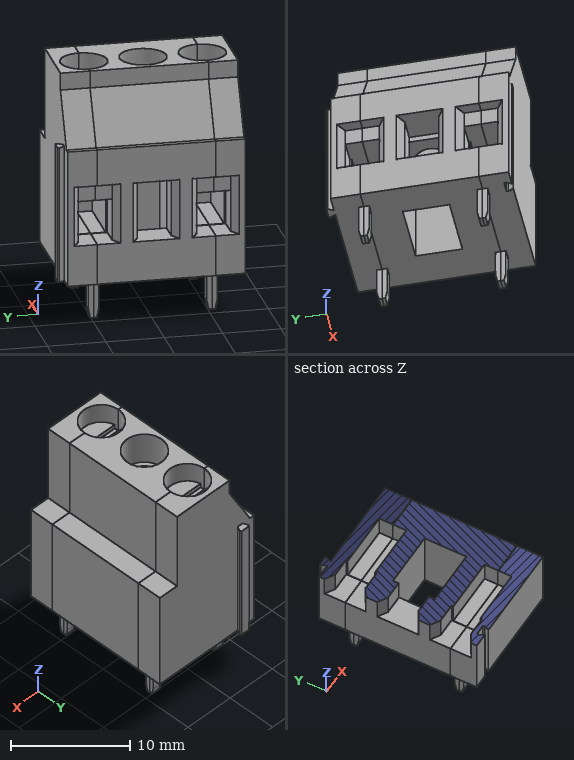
import cadquery as cq

depth = 11.2
height = 21.5
pole_pitch = 5.07
end_margin = pole_pitch / 2
half_length = pole_pitch + end_margin
base_z = 3.5

front_shoulder_z = 15.5
slope_start_x = 0.5
slope_end_x = 2.9
slope_end_z = 20.0
rear_step_x = 9.15
rear_step_z = 13.5

entry_bottom_z = 7.05
entry_top_z = 12.3
mouth_width = 4.0
throat_width = 2.9
taper_depth = 0.88
lintel_z = 10.69
clamp_x = 2.73
clamp_slot_width = 2.58
clamp_floor_rise = 0.05

screw_x = 5.38
bore_diameter = 4.0
screw_head_depth = 2.0
screw_slot_width = 0.77
screw_slot_depth = 0.43

chamber_top_z = 11.74
chamber_back_x = 2 * screw_x - clamp_x
chamber_width = bore_diameter
empty_bore_depth = 3.22
through_hole_diameter = 3.1

pin_width = 0.9
pin_tip_width = 0.55
pin_tip_height = 0.77
front_pin_x = 1.94
pin_spacing = 7.48

dovetail_x = 1.68
dovetail_root_width = 0.55
dovetail_wide_width = 1.03
dovetail_tip_width = 0.9
dovetail_length = 0.62
dovetail_wide_at = 0.47


def box(x_range, y_centre, width, z_range):
    """Block between two X and two Z limits, centred on y_centre."""
    return cq.Workplane("XY").box(
        x_range[1] - x_range[0], width, z_range[1] - z_range[0], centered=(False, True, False)
    ).translate((x_range[0], y_centre, z_range[0]))


def bore(y_centre, diameter, z_range):
    """Vertical cylinder on a pole's screw axis."""
    return (
        cq.Workplane("XY", origin=(screw_x, y_centre, z_range[0]))
        .transformed(rotate=(0, 0, 90))
        .circle(diameter / 2)
        .extrude(z_range[1] - z_range[0])
    )


def housing_slab(y_start, y_end):
    """Plain length of housing with the stepped and sloped outline."""
    return (
        cq.Workplane("XZ", origin=(0, y_end, 0))
        .moveTo(0, base_z)
        .lineTo(depth, base_z)
        .lineTo(depth, rear_step_z)
        .lineTo(rear_step_x, rear_step_z)
        .lineTo(rear_step_x, height)
        .lineTo(slope_end_x, height)
        .lineTo(slope_end_x, slope_end_z)
        .lineTo(slope_start_x, front_shoulder_z)
        .lineTo(0, front_shoulder_z)
        .close()
        .extrude(y_end - y_start)
    )


def entry_mouth(y_centre):
    """Wire entry that narrows towards the throat."""
    return (
        cq.Workplane("XY", origin=(0, y_centre, entry_bottom_z))
        .moveTo(0, -mouth_width / 2)
        .lineTo(taper_depth, -throat_width / 2)
        .lineTo(taper_depth, throat_width / 2)
        .lineTo(0, mouth_width / 2)
        .close()
        .extrude(entry_top_z - entry_bottom_z)
    )


def wired_pole_cuts(y_centre):
    """Wire entry, clamp slot and screw recess of a pole that carries a terminal."""
    throat = box((taper_depth, clamp_x), y_centre, throat_width, (entry_bottom_z, lintel_z))
    clamp_slot = box(
        (clamp_x, chamber_back_x), y_centre, clamp_slot_width, (entry_bottom_z + clamp_floor_rise, lintel_z)
    )
    screw_top_z = height - screw_head_depth
    screw_recess = bore(y_centre, bore_diameter, (screw_top_z, height))
    slot_z = (screw_top_z - screw_slot_depth, screw_top_z)
    screw_slot = bore(y_centre, bore_diameter, slot_z).intersect(
        box((0, depth), y_centre, screw_slot_width, slot_z)
    )
    return [entry_mouth(y_centre), throat, clamp_slot, screw_recess, screw_slot]


def empty_pole_cuts(y_centre):
    """Wire entry, chamber and stepped bore of a pole without a terminal."""
    throat = box((taper_depth, clamp_x), y_centre, throat_width, (entry_bottom_z, entry_top_z))
    chamber = box((clamp_x, chamber_back_x), y_centre, chamber_width, (base_z, chamber_top_z))
    through_hole = bore(y_centre, through_hole_diameter, (chamber_top_z, height))
    wide_bore = bore(y_centre, bore_diameter, (height - empty_bore_depth, height))
    return [entry_mouth(y_centre), throat, chamber, through_hole, wide_bore]


def pole_pins(y_centre):
    """Front and rear pins of one pole, narrowing in Y towards the tip."""
    pin = (
        cq.Workplane("YZ")
        .moveTo(-pin_tip_width / 2, 0)
        .lineTo(pin_tip_width / 2, 0)
        .lineTo(pin_width / 2, pin_tip_height)
        .lineTo(pin_width / 2, base_z)
        .lineTo(-pin_width / 2, base_z)
        .lineTo(-pin_width / 2, pin_tip_height)
        .close()
        .extrude(pin_width / 2, both=True)
        .translate((front_pin_x, y_centre, 0))
    )
    return pin.union(pin.translate((pin_spacing, 0, 0)))


def dovetail(y_face):
    """Upright dovetail bar that stands on the plane y_face and points to +Y."""
    return (
        cq.Workplane("XY", origin=(dovetail_x, y_face, base_z))
        .moveTo(-dovetail_root_width / 2, 0)
        .lineTo(dovetail_root_width / 2, 0)
        .lineTo(dovetail_wide_width / 2, dovetail_wide_at)
        .lineTo(dovetail_tip_width / 2, dovetail_length)
        .lineTo(-dovetail_tip_width / 2, dovetail_length)
        .lineTo(-dovetail_wide_width / 2, dovetail_wide_at)
        .close()
        .extrude(front_shoulder_z - base_z)
    )


def whole_block():
    """The full length of the block, before it is divided."""
    block = housing_slab(-half_length, half_length)
    cavities = empty_pole_cuts(0)
    for y_pole in (-pole_pitch, pole_pitch):
        block = block.union(pole_pins(y_pole))
        cavities += wired_pole_cuts(y_pole)
    for cavity in cavities:
        block = block.cut(cavity)
    return block


def module(block, y_start, y_end):
    """Part of the block between two Y planes."""
    cell = box((0, depth), (y_start + y_end) / 2, y_end - y_start, (0, height))
    return block.intersect(cell)


block = whole_block()

grooved_end = module(block, -half_length, -pole_pitch).cut(dovetail(-half_length))

middle = module(block, -pole_pitch, pole_pitch)

tongued_end = module(block, pole_pitch, half_length).union(dovetail(half_length))

result = cq.Compound.makeCompound([grooved_end.val(), middle.val(), tongued_end.val()])